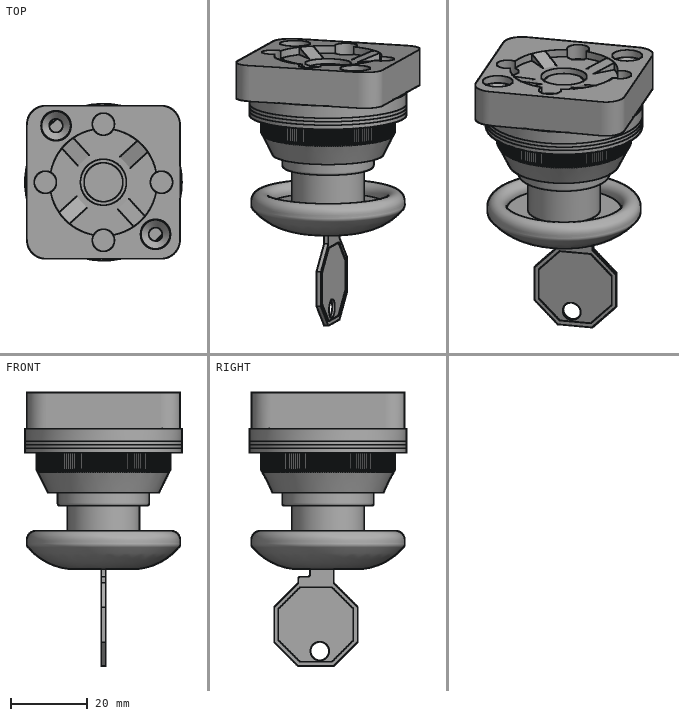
import cadquery as cq
import math


BLOCK_BOTTOM = -9.5
FLANGE_BOTTOM = -12.8
THIN_WASHER = 0.9
THICK_WASHER = 1.15
WASHER_THICKNESSES = [THIN_WASHER, THIN_WASHER, THICK_WASHER]
NUT_TOP = FLANGE_BOTTOM - sum(WASHER_THICKNESSES)
KNURL_BOTTOM = -20.0
NUT_BOTTOM = -26.2
SLEEVE_BOTTOM = -29.6
HEAD_TOP = -36.05
HEAD_BOTTOM = -46.1
KEY_BOTTOM = -71.4

BLOCK_SIDE = 40.0
BLOCK_CORNER_RADIUS = 5.0
POCKET_DIAMETER = 28.0
POCKET_DEPTH = 2.0
CENTRE_RECESS_DIAMETER = 12.0
CENTRE_RECESS_DEPTH = 2.0
CENTRE_BOSS_DIAMETER = 10.15
CENTRE_BOSS_HEIGHT = 0.85
TERMINAL_DIAMETER = 5.8
TERMINAL_DEPTH = 2 * POCKET_DEPTH
TERMINAL_CIRCLE_RADIUS = 15.15
RAMP_WIDTH = 4.0
RAMP_INNER_RADIUS = 7.65
RAMP_START_ANGLE = 42.5
SCREW_CIRCLE_RADIUS = 19.2
SCREW_ANGLES = [130.0, -45.0]
SCREW_HOLE_DIAMETER = 3.5
SCREW_HEAD_DIAMETER = 7.85
SCREW_HEAD_DEPTH = 2.0
SCREW_CONE_DIAMETER = 7.6

FLANGE_DIAMETER = 41.0
SLEEVE_DIAMETER = 24.0
SLEEVE_EDGE_RADIUS = 0.7
KNURL_DIAMETER = 35.1
NUT_BOTTOM_DIAMETER = 29.0
TOOTH_COUNT = 180
TOOTH_DEPTH = 0.4

STEM_DIAMETER = 18.9
HEAD_DIAMETER = 40.1
DISH_DIAMETER = 30.0
RIM_BAND_HEIGHT = 0.7
EDGE_ARC_MID = (20.0, -40.0)
EDGE_ARC_END = (19.65, -40.5)
DOME_ARC_MID = (15.6, -43.9)
HEAD_FLAT_RADIUS = 9.0

KEY_THICKNESS = 1.2
BOW_WIDTH = 21.85
BOW_HEIGHT = 21.7
BOW_CORNER = 6.3
BOW_CENTRE_Y = -3.15
BOW_RIM_WIDTH = 1.15
BOW_PANEL_DEPTH = 0.2
BLADE_WIDTH = 6.2
SHOULDER_Z = -48.05
SHOULDER_RADIUS = 0.6
KEY_HOLE_DIAMETER = 4.8
KEY_HOLE_Y = -2.15
KEY_HOLE_Z = -67.5


def disc(diameter, top, bottom):
    """Cylinder on the Z axis between two levels."""
    return cq.Workplane("XY").workplane(offset=bottom).circle(diameter / 2).extrude(top - bottom)


def at_polar(shape, radius, angle):
    """Shape moved out along +X by radius and then turned about the Z axis."""
    return shape.translate((radius, 0, 0)).rotate((0, 0, 0), (0, 0, 1), angle)


def ramp():
    """Wedge that climbs from the pocket floor to the block's top face at the pocket wall."""
    outer_radius = POCKET_DIAMETER / 2
    wedge = (
        cq.Workplane("XZ")
        .moveTo(RAMP_INNER_RADIUS, -POCKET_DEPTH)
        .lineTo(outer_radius, -POCKET_DEPTH)
        .lineTo(outer_radius, 0)
        .close()
        .extrude(RAMP_WIDTH / 2, both=True)
    )
    return wedge.intersect(disc(POCKET_DIAMETER, 0, -POCKET_DEPTH))


def screw_hole():
    """Countersunk through hole with a straight entry for the screw head."""
    cone_height = (SCREW_CONE_DIAMETER - SCREW_HOLE_DIAMETER) / 2
    return (
        cq.Workplane("XZ")
        .lineTo(SCREW_HEAD_DIAMETER / 2, 0)
        .lineTo(SCREW_HEAD_DIAMETER / 2, -SCREW_HEAD_DEPTH)
        .lineTo(SCREW_CONE_DIAMETER / 2, -SCREW_HEAD_DEPTH)
        .lineTo(SCREW_HOLE_DIAMETER / 2, -SCREW_HEAD_DEPTH - cone_height)
        .lineTo(SCREW_HOLE_DIAMETER / 2, BLOCK_BOTTOM)
        .lineTo(0, BLOCK_BOTTOM)
        .close()
        .revolve()
    )


def make_contact_block():
    block = (
        cq.Workplane("XY")
        .workplane(offset=BLOCK_BOTTOM)
        .rect(BLOCK_SIDE, BLOCK_SIDE)
        .extrude(-BLOCK_BOTTOM)
        .edges("|Z")
        .fillet(BLOCK_CORNER_RADIUS)
    )

    block = block.cut(disc(POCKET_DIAMETER, 0, -POCKET_DEPTH))
    for quarter in range(4):
        block = block.union(at_polar(ramp(), 0, RAMP_START_ANGLE + 90 * quarter))

    recess_floor = -POCKET_DEPTH - CENTRE_RECESS_DEPTH
    block = block.cut(disc(CENTRE_RECESS_DIAMETER, -POCKET_DEPTH, recess_floor))
    block = block.union(disc(CENTRE_BOSS_DIAMETER, recess_floor + CENTRE_BOSS_HEIGHT, recess_floor))

    terminal_hole = disc(TERMINAL_DIAMETER, 0, -TERMINAL_DEPTH)
    for quarter in range(4):
        block = block.cut(at_polar(terminal_hole, TERMINAL_CIRCLE_RADIUS, 90 * quarter))

    for angle in SCREW_ANGLES:
        block = block.cut(at_polar(screw_hole(), SCREW_CIRCLE_RADIUS, angle))
    return block


def make_operator():
    """Flange and sleeve, bored through for the stem of the mushroom head."""
    sleeve = disc(SLEEVE_DIAMETER, FLANGE_BOTTOM, SLEEVE_BOTTOM)
    sleeve = sleeve.faces("<Z").edges().fillet(SLEEVE_EDGE_RADIUS)
    operator = disc(FLANGE_DIAMETER, BLOCK_BOTTOM, FLANGE_BOTTOM).union(sleeve)
    return operator.cut(disc(STEM_DIAMETER, BLOCK_BOTTOM, SLEEVE_BOTTOM))


def make_washer(top, thickness):
    bottom = top - thickness
    return disc(FLANGE_DIAMETER, top, bottom).cut(disc(SLEEVE_DIAMETER, top, bottom))


def make_washers():
    """Washers stacked downwards from the flange."""
    washers = []
    top = FLANGE_BOTTOM
    for thickness in WASHER_THICKNESSES:
        washers.append(make_washer(top, thickness))
        top -= thickness
    return washers


def make_nut():
    """Knurled nut that tapers below the knurl."""
    nut = (
        cq.Workplane("XZ")
        .moveTo(SLEEVE_DIAMETER / 2, NUT_TOP)
        .lineTo(KNURL_DIAMETER / 2, NUT_TOP)
        .lineTo(KNURL_DIAMETER / 2, KNURL_BOTTOM)
        .lineTo(NUT_BOTTOM_DIAMETER / 2, NUT_BOTTOM)
        .lineTo(SLEEVE_DIAMETER / 2, NUT_BOTTOM)
        .close()
        .revolve(360, (0, 0), (0, 1))
    )

    tip_radius = KNURL_DIAMETER / 2
    root_radius = tip_radius - TOOTH_DEPTH
    half_pitch = math.pi / TOOTH_COUNT
    outline = []
    for index in range(TOOTH_COUNT):
        tip_angle = 2 * index * half_pitch
        root_angle = tip_angle + half_pitch
        outline.append((tip_radius * math.cos(tip_angle), tip_radius * math.sin(tip_angle)))
        outline.append((root_radius * math.cos(root_angle), root_radius * math.sin(root_angle)))
    toothed = (
        cq.Workplane("XY")
        .workplane(offset=NUT_BOTTOM)
        .polyline(outline)
        .close()
        .extrude(NUT_TOP - NUT_BOTTOM)
    )
    return nut.intersect(toothed)


def make_mushroom():
    """Dished mushroom head with a round rim, domed underside and stem."""
    head_radius = HEAD_DIAMETER / 2
    dish_radius = DISH_DIAMETER / 2
    rim_radius = (head_radius - dish_radius) / 2
    rim_bottom = HEAD_TOP - rim_radius
    dish_floor = rim_bottom - RIM_BAND_HEIGHT
    return (
        cq.Workplane("XZ")
        .moveTo(0, BLOCK_BOTTOM)
        .lineTo(STEM_DIAMETER / 2, BLOCK_BOTTOM)
        .lineTo(STEM_DIAMETER / 2, dish_floor)
        .lineTo(dish_radius, dish_floor)
        .lineTo(dish_radius, rim_bottom)
        .threePointArc((dish_radius + rim_radius, HEAD_TOP), (head_radius, rim_bottom))
        .lineTo(head_radius, dish_floor)
        .threePointArc(EDGE_ARC_MID, EDGE_ARC_END)
        .threePointArc(DOME_ARC_MID, (HEAD_FLAT_RADIUS, HEAD_BOTTOM))
        .lineTo(0, HEAD_BOTTOM)
        .close()
        .revolve(360, (0, 0), (0, 1))
    )


def bow_plate(rim, thickness):
    """Octagonal plate centred on the key's mid-plane, inset from the bow's outline by rim."""
    corner = BOW_CORNER - rim * (2 - math.sqrt(2))
    return (
        cq.Workplane("YZ")
        .center(BOW_CENTRE_Y, KEY_BOTTOM + BOW_HEIGHT / 2)
        .rect(BOW_WIDTH - 2 * rim, BOW_HEIGHT - 2 * rim)
        .extrude(thickness / 2, both=True)
        .edges("|X")
        .chamfer(corner)
    )


def blade_plate():
    """Blade with a rounded shoulder on its -Y side, from the bow up to the mushroom head."""
    bow_top = KEY_BOTTOM + BOW_HEIGHT
    half_flat = BOW_WIDTH / 2 - BOW_CORNER
    back_y = BOW_CENTRE_Y + half_flat
    front_y = back_y - BLADE_WIDTH
    shoulder_y = BOW_CENTRE_Y - half_flat
    return (
        cq.Workplane("YZ")
        .moveTo(back_y, bow_top)
        .lineTo(back_y, HEAD_BOTTOM)
        .lineTo(front_y, HEAD_BOTTOM)
        .lineTo(front_y, SHOULDER_Z + SHOULDER_RADIUS)
        .radiusArc((front_y - SHOULDER_RADIUS, SHOULDER_Z), SHOULDER_RADIUS)
        .lineTo(shoulder_y + SHOULDER_RADIUS, SHOULDER_Z)
        .radiusArc((shoulder_y, SHOULDER_Z - SHOULDER_RADIUS), -SHOULDER_RADIUS)
        .lineTo(shoulder_y, bow_top)
        .close()
        .extrude(KEY_THICKNESS / 2, both=True)
    )


def make_key():
    """Flat key in the YZ plane; both faces of its bow are recessed inside a rim."""
    key = bow_plate(0, KEY_THICKNESS).union(blade_plate())
    web_thickness = KEY_THICKNESS - 2 * BOW_PANEL_DEPTH
    key = key.cut(bow_plate(BOW_RIM_WIDTH, KEY_THICKNESS).cut(bow_plate(0, web_thickness)))
    ring_hole = (
        cq.Workplane("YZ")
        .center(KEY_HOLE_Y, KEY_HOLE_Z)
        .circle(KEY_HOLE_DIAMETER / 2)
        .extrude(KEY_THICKNESS / 2, both=True)
    )
    return key.cut(ring_hole)


contact_block = make_contact_block()
operator = make_operator()
washers = make_washers()
nut = make_nut()
mushroom = make_mushroom()
key = make_key()

result = cq.Compound.makeCompound(
    [
        contact_block.val(),
        operator.val(),
        *[washer.val() for washer in washers],
        nut.val(),
        mushroom.val(),
        key.val(),
    ]
)